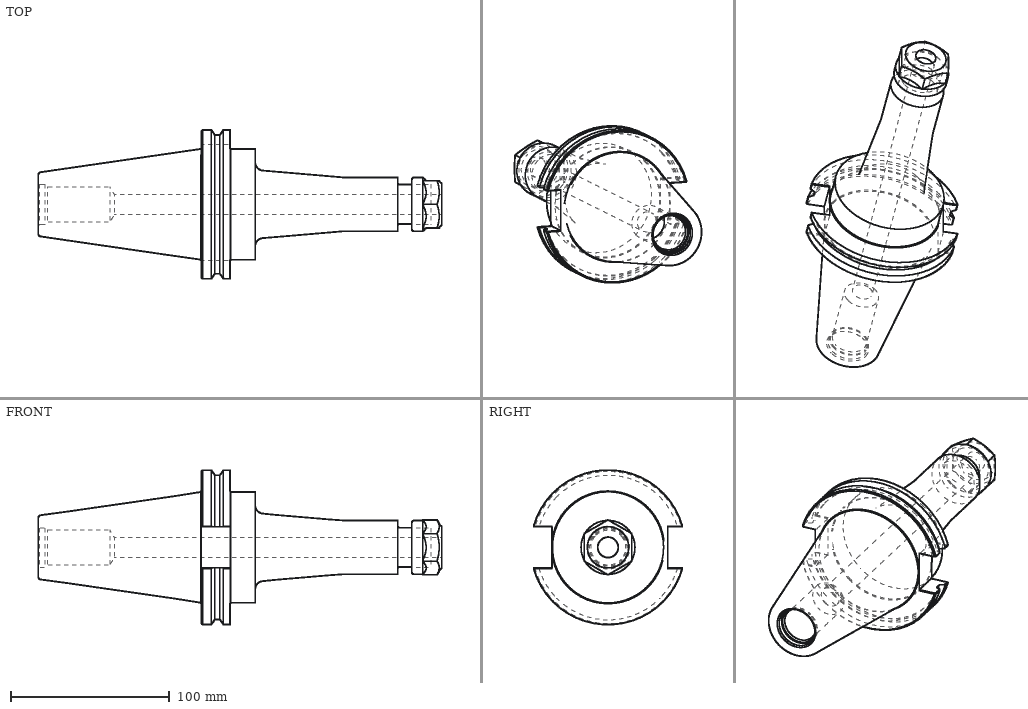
import cadquery as cq
import math


OVERALL_LENGTH = 254.17

GAUGE_DIA = 69.85
TAPER_LENGTH = 101.75
TAPER_RATIO = 7 / 24
SHANK_END_FILLET = 2.0

FLANGE_DIA = 97.5
FLANGE_START = 1.0
FLANGE_END = 19.1
FLANGE_CHAMFER = 0.8
ROOT_FILLET = 0.5
GROOVE_CENTRE = 11.1
GROOVE_BOTTOM_DIA = 91.1
GROOVE_BOTTOM_WIDTH = 3.2
GROOVE_TOP_WIDTH = 7.5

SLOT_WIDTH = 25.7
SLOT_CHAMFER = 0.5
SLOT_FLOOR_PLUS_Y = 37.7
SLOT_FLOOR_MINUS_Y = 35.3

COLLAR_DIA = 70.0
COLLAR_END = 35.0
NECK_ROOT_DIA = 43.5
NECK_ROOT_FILLET = 5.0
BARREL_DIA = 34.0
BARREL_START = 90.7
BARREL_END = 124.7

SPIGOT_DIA = 25.0
SPIGOT_FILLET = 0.8
SPIGOT_ENGAGEMENT = 12.0

MOUTH_DIA = 27.0
MOUTH_LENGTH = 0.8
PILOT_DIA = 25.0
PILOT_DEPTH = 4.2
THREAD_MOUTH_DIA = 23.5
THREAD_MOUTH_LENGTH = 1.5
THREAD_DIA = 21.97
THREAD_DEPTH = 45.0
DRILL_TIP_ANGLE = 118
THROUGH_DIA = 12.75

NUT_LENGTH = 19.0
NUT_RING_DIA = 34.0
NUT_RING_LENGTH = 7.1
NUT_RING_FILLET = 1.5
HEX_ACROSS_FLATS = 30.0
HEX_CHAMFER_ANGLE = 30
NUT_LIP_DIA = 28.4
NUT_LIP_LENGTH = 1.2
NUT_FACE_DIA = 26.0

SHANK_END = -TAPER_LENGTH
NUT_END = SHANK_END + OVERALL_LENGTH
NUT_START = NUT_END - NUT_LENGTH
SPIGOT_END = NUT_START + SPIGOT_ENGAGEMENT

AXIS_START = (0, 0, 0)
AXIS_END = (1, 0, 0)


def turned(profile):
    """Revolve a closed (x, radius) profile about the X axis."""
    return profile.close().revolve(360, AXIS_START, AXIS_END)


def cylinder(start, end, diameter):
    return cq.Workplane("YZ", origin=(start, 0, 0)).circle(diameter / 2).extrude(end - start)


def concave_quarter(profile, corner_x, corner_r, radius, from_cylinder):
    """Draw a quarter-round root fillet in the corner between a cylinder and a flange face."""
    side = -1 if from_cylinder else 1
    mid_offset = radius * (1 - math.sqrt(0.5))
    on_cylinder = (corner_x + side * radius, corner_r)
    on_face = (corner_x, corner_r + radius)
    middle = (corner_x + side * mid_offset, corner_r + mid_offset)
    start, end = (on_cylinder, on_face) if from_cylinder else (on_face, on_cylinder)
    return profile.lineTo(*start).threePointArc(middle, end)


def turned_holder():
    """The shank, flange, collar, neck, barrel and spigot as one turned blank."""
    shank_end_radius = (GAUGE_DIA - TAPER_LENGTH * TAPER_RATIO) / 2
    profile = cq.Workplane("XY").moveTo(SHANK_END, 0)
    profile = profile.lineTo(SHANK_END, shank_end_radius)
    profile = concave_quarter(profile, FLANGE_START, GAUGE_DIA / 2, ROOT_FILLET, True)
    profile = (
        profile.lineTo(FLANGE_START, FLANGE_DIA / 2 - FLANGE_CHAMFER)
        .lineTo(FLANGE_START + FLANGE_CHAMFER, FLANGE_DIA / 2)
        .lineTo(FLANGE_END, FLANGE_DIA / 2)
    )
    profile = concave_quarter(profile, FLANGE_END, COLLAR_DIA / 2, ROOT_FILLET, False)
    profile = (
        profile.lineTo(COLLAR_END, COLLAR_DIA / 2)
        .lineTo(COLLAR_END, NECK_ROOT_DIA / 2)
        .lineTo(BARREL_START, BARREL_DIA / 2)
        .lineTo(BARREL_END, BARREL_DIA / 2)
    )
    profile = concave_quarter(profile, BARREL_END, SPIGOT_DIA / 2, SPIGOT_FILLET, False)
    profile = profile.lineTo(SPIGOT_END, SPIGOT_DIA / 2).lineTo(SPIGOT_END, 0)
    blank = turned(profile)

    blank = blank.faces("<X").edges().fillet(SHANK_END_FILLET)
    margin = 0.1
    collar_face = cq.selectors.BoxSelector(
        (COLLAR_END - margin, -NECK_ROOT_DIA, -NECK_ROOT_DIA),
        (COLLAR_END + margin, NECK_ROOT_DIA, NECK_ROOT_DIA),
        boundingbox=True,
    )
    return blank.edges(collar_face).edges(cq.selectors.RadiusNthSelector(0)).fillet(NECK_ROOT_FILLET)


def gripper_groove():
    """V-shaped groove with a flat bottom, around the rim of the flange."""
    half_bottom = GROOVE_BOTTOM_WIDTH / 2
    half_top = GROOVE_TOP_WIDTH / 2
    profile = (
        cq.Workplane("XY")
        .moveTo(GROOVE_CENTRE - half_bottom, GROOVE_BOTTOM_DIA / 2)
        .lineTo(GROOVE_CENTRE + half_bottom, GROOVE_BOTTOM_DIA / 2)
        .lineTo(GROOVE_CENTRE + half_top, FLANGE_DIA / 2)
        .lineTo(GROOVE_CENTRE - half_top, FLANGE_DIA / 2)
    )
    return turned(profile)


def drive_slot(floor, side):
    """Slot along X through the flange, open outwards on the +Y (side 1) or -Y (side -1) side."""
    depth = FLANGE_DIA / 2 - floor
    centre = ((FLANGE_START + FLANGE_END) / 2, side * (floor + depth / 2), 0)
    return cq.Workplane("XY").box(FLANGE_END - FLANGE_START, depth, SLOT_WIDTH).translate(centre)


def chamfer_slot_sides(holder):
    """Chamfer the slot side edges on both flange faces and on the rim, but not along the floors."""
    side_edges = holder.faces("|Z").edges()
    outer_edges = side_edges.filter(lambda edge: abs(edge.Center().y) > SLOT_FLOOR_PLUS_Y)
    return outer_edges.chamfer(SLOT_CHAMFER)


def stepped_bore():
    """Mouth chamfer, pilot bore, chamfered thread hole with its conical bottom, and through hole."""
    thread_end = SHANK_END + THREAD_DEPTH
    tip_length = (THREAD_DIA - THROUGH_DIA) / 2 / math.tan(math.radians(DRILL_TIP_ANGLE / 2))
    profile = (
        cq.Workplane("XY")
        .moveTo(SHANK_END, 0)
        .lineTo(SHANK_END, MOUTH_DIA / 2)
        .lineTo(SHANK_END + MOUTH_LENGTH, PILOT_DIA / 2)
        .lineTo(SHANK_END + PILOT_DEPTH, PILOT_DIA / 2)
        .lineTo(SHANK_END + PILOT_DEPTH, THREAD_MOUTH_DIA / 2)
        .lineTo(SHANK_END + PILOT_DEPTH + THREAD_MOUTH_LENGTH, THREAD_DIA / 2)
        .lineTo(thread_end, THREAD_DIA / 2)
        .lineTo(thread_end + tip_length, THROUGH_DIA / 2)
        .lineTo(SPIGOT_END, THROUGH_DIA / 2)
        .lineTo(SPIGOT_END, 0)
    )
    return turned(profile)


def make_holder():
    holder = turned_holder()
    for floor, side in ((SLOT_FLOOR_PLUS_Y, 1), (SLOT_FLOOR_MINUS_Y, -1)):
        holder = holder.cut(drive_slot(floor, side))
    holder = chamfer_slot_sides(holder)
    return holder.cut(gripper_groove()).cut(stepped_bore())


def nut_ring():
    """Round ring of the nut, closed by a 45 degree cone that runs into the hexagon."""
    ring_end = NUT_START + NUT_RING_LENGTH
    cone_length = (NUT_RING_DIA - HEX_ACROSS_FLATS) / 2
    profile = (
        cq.Workplane("XY")
        .moveTo(NUT_START, 0)
        .lineTo(NUT_START, NUT_RING_DIA / 2)
        .lineTo(ring_end, NUT_RING_DIA / 2)
        .lineTo(ring_end + cone_length, HEX_ACROSS_FLATS / 2)
        .lineTo(ring_end + cone_length, 0)
    )
    return turned(profile).faces("<X").edges().fillet(NUT_RING_FILLET)


def nut_hexagon():
    """Hexagon with corners at +Z and -Z, its front corners turned down to a conical lip."""
    start = NUT_START + NUT_RING_LENGTH
    corner_dia = HEX_ACROSS_FLATS / math.cos(math.radians(30))
    lip_start = NUT_END - NUT_LIP_LENGTH
    chamfer_length = (corner_dia - NUT_LIP_DIA) / 2 * math.tan(math.radians(HEX_CHAMFER_ANGLE))
    prism = (
        cq.Workplane("YZ", origin=(start, 0, 0))
        .polygon(6, corner_dia)
        .extrude(NUT_END - start)
        .rotate(AXIS_START, AXIS_END, 90)
    )
    envelope = (
        cq.Workplane("XY")
        .moveTo(start, 0)
        .lineTo(start, corner_dia / 2)
        .lineTo(lip_start - chamfer_length, corner_dia / 2)
        .lineTo(lip_start, NUT_LIP_DIA / 2)
        .lineTo(NUT_END, NUT_FACE_DIA / 2)
        .lineTo(NUT_END, 0)
    )
    return prism.intersect(turned(envelope))


def make_nut():
    nut = nut_ring().union(nut_hexagon())
    nut = nut.cut(cylinder(NUT_START, SPIGOT_END, SPIGOT_DIA))
    return nut.cut(cylinder(SPIGOT_END, NUT_END, THROUGH_DIA))


holder = make_holder()
nut = make_nut()

result = cq.Compound.makeCompound([holder.val(), nut.val()])